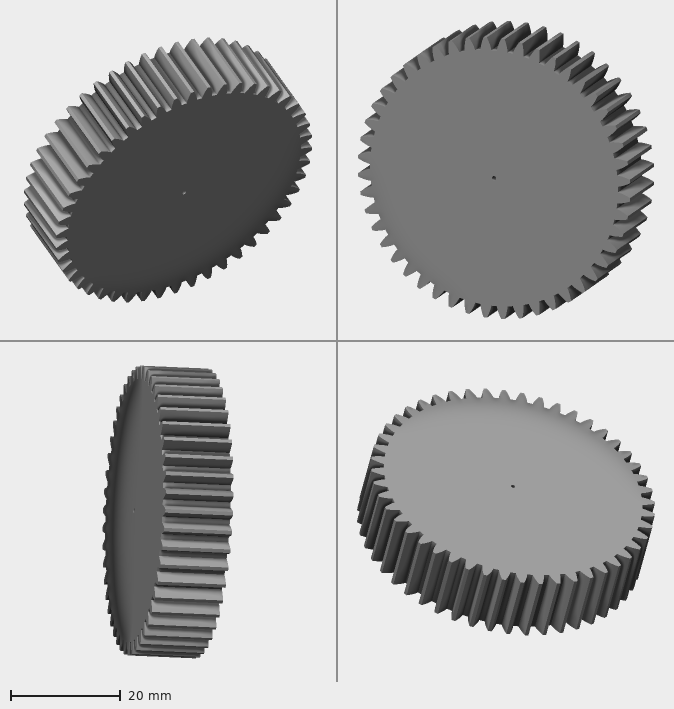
import math

import cadquery as cq

tooth_count = 48
outer_size = 52.85
face_width = 12.7
bore_diameter = 0.8
pressure_angle = math.radians(20)
addendum_factor = 1.0
clearance_factor = 0.25
backlash_factor = 0.14
flank_sections = 6

tooth_angle = 2 * math.pi / tooth_count
tip_diameter_factor = tooth_count + 2 * addendum_factor

end_plane = cq.Workplane("YZ").workplane(offset=-face_width / 2)


def involute(angle):
    """Involute function of a pressure angle, in radians."""
    return math.tan(angle) - angle


tip_pressure_angle = math.acos(tooth_count * math.cos(pressure_angle) / tip_diameter_factor)
pitch_half_angle = tooth_angle / 4 - backlash_factor / tooth_count
base_half_angle = pitch_half_angle + involute(pressure_angle)
tip_half_angle = base_half_angle - involute(tip_pressure_angle)

tip_radius = outer_size / 2 / math.cos(tooth_angle / 2 - tip_half_angle)
module = 2 * tip_radius / tip_diameter_factor
pitch_radius = module * tooth_count / 2
base_radius = pitch_radius * math.cos(pressure_angle)
root_radius = pitch_radius - (addendum_factor + clearance_factor) * module


def polar(radius, angle):
    return (radius * math.cos(angle), radius * math.sin(angle))


def half_thickness_angle(radius):
    """Half the angle that a tooth spans at the given radius."""
    return base_half_angle - involute(math.acos(base_radius / radius))


flank_radii = [
    root_radius + (tip_radius - root_radius) * step / flank_sections
    for step in range(flank_sections + 1)
]


def gear_outline():
    """Closed outline of root arcs, involute flanks and tip arcs."""
    root_half_angle = half_thickness_angle(root_radius)
    outline = end_plane.moveTo(*polar(root_radius, tooth_angle / 2 - root_half_angle))
    for tooth in range(tooth_count):
        center = (tooth + 0.5) * tooth_angle
        rising = [polar(r, center - half_thickness_angle(r)) for r in flank_radii]
        falling = [polar(r, center + half_thickness_angle(r)) for r in reversed(flank_radii)]
        next_root = polar(root_radius, center + tooth_angle - root_half_angle)
        outline = (
            outline.spline(rising[1:], includeCurrent=True)
            .threePointArc(polar(tip_radius, center), falling[0])
            .spline(falling[1:], includeCurrent=True)
            .threePointArc(polar(root_radius, center + tooth_angle / 2), next_root)
        )
    return outline.close()


blank = gear_outline().extrude(face_width)
bore = end_plane.circle(bore_diameter / 2).extrude(face_width)
result = blank.cut(bore)